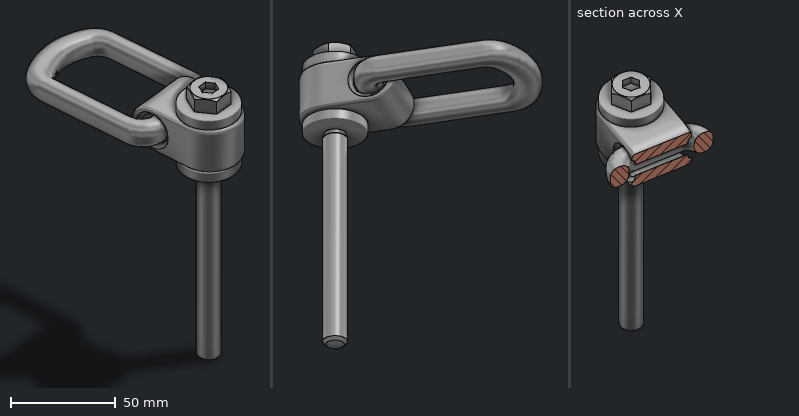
import cadquery as cq
import math


TOTAL_HEIGHT = 158.5

HOUSING_HEIGHT = 24.5
HOUSING_WIDTH = 33.3
HOUSING_EDGE_FILLET = 2.0
NOSE_CENTRE_X = 0.6
BARREL_CENTRE_X = -22.7
RING_HOLE_X = -21.5
RING_HOLE_RADIUS = 8.0
RING_HOLE_FILLET = 2.0

FLANGE_RADIUS = 15.7
FLANGE_THICKNESS = 5.5
FLANGE_FILLET = 0.5
BUSH_RADIUS = 12.2
BUSH_GAP = 1.0
HEAD_HEIGHT = 8.2
HEAD_ACROSS_FLATS = 18.7
HEAD_CHAMFER_ANGLE = 30.0
HEAD_TOP_RADIUS = 9.0
SOCKET_ACROSS_FLATS = 8.2
SOCKET_DEPTH = 4.0
NECK_RADIUS = 5.2
NECK_LENGTH = 2.0
THREAD_RADIUS = 6.0
THREAD_TOP_CHAMFER = 0.5
THREAD_TIP_CHAMFER = 1.6

RING_HEIGHT = 13.2
RING_ROUNDING = 0.45
OUTER_LEG_Y = 28.5
INNER_LEG_Y = 18.7
CROWN_OUTER_X = -101.8
CROWN_INNER_X = -88.0
CROWN_OUTER_START_X = -82.9
CROWN_INNER_START_X = -77.0
CROWN_OUTER_CORNER = 15.0
CROWN_INNER_CORNER = 8.0
HINGE_OUTER_X = -14.6
HINGE_INNER_X = -25.8
HINGE_OUTER_CORNER = 14.1
HINGE_INNER_CORNER = 5.9
CORNER_STEPS = 4
CROWN_STEPS = 3

housing_top = HOUSING_HEIGHT / 2
housing_bottom = -housing_top
bush_flange_top = housing_bottom - BUSH_GAP
bush_bottom = bush_flange_top - FLANGE_THICKNESS
bolt_flange_top = housing_top + FLANGE_THICKNESS
head_top = bolt_flange_top + HEAD_HEIGHT
thread_top = bush_bottom - NECK_LENGTH
bolt_tip = head_top - TOTAL_HEIGHT


def cylinder(radius, bottom, top):
    return cq.Workplane("XY").workplane(offset=bottom).circle(radius).extrude(top - bottom)


def hexagonal_prism(across_flats, bottom, top):
    """Hexagonal prism with two flats facing +X and -X."""
    across_corners = across_flats / math.cos(math.radians(30))
    return (
        cq.Workplane("XY")
        .workplane(offset=bottom)
        .transformed(rotate=(0, 0, 90))
        .polygon(6, across_corners)
        .extrude(top - bottom)
    )


def flange(bottom):
    disc = cylinder(FLANGE_RADIUS, bottom, bottom + FLANGE_THICKNESS)
    return disc.edges().fillet(FLANGE_FILLET)


def make_housing_block():
    """Block with a round nose in plan and a round barrel at the ring end."""
    nose_radius = HOUSING_WIDTH / 2
    barrel_radius = HOUSING_HEIGHT / 2
    nose_x = NOSE_CENTRE_X + nose_radius
    side_shape = (
        cq.Workplane("XZ")
        .moveTo(BARREL_CENTRE_X, barrel_radius)
        .lineTo(nose_x, barrel_radius)
        .lineTo(nose_x, -barrel_radius)
        .lineTo(BARREL_CENTRE_X, -barrel_radius)
        .threePointArc((BARREL_CENTRE_X - barrel_radius, 0), (BARREL_CENTRE_X, barrel_radius))
        .close()
        .extrude(nose_radius, both=True)
    )
    barrel_x = BARREL_CENTRE_X - barrel_radius
    plan_shape = (
        cq.Workplane("XY")
        .moveTo(barrel_x, -nose_radius)
        .lineTo(NOSE_CENTRE_X, -nose_radius)
        .threePointArc((nose_x, 0), (NOSE_CENTRE_X, nose_radius))
        .lineTo(barrel_x, nose_radius)
        .close()
        .extrude(barrel_radius, both=True)
    )
    block = side_shape.intersect(plan_shape)
    return block.edges("(not |Y) and (not |Z)").fillet(HOUSING_EDGE_FILLET)


def make_housing():
    """Housing block with a flared ring hole along Y and a bush bore along Z."""
    half_width = HOUSING_WIDTH / 2
    ring_hole = (
        cq.Workplane("XY")
        .moveTo(0, -half_width)
        .lineTo(RING_HOLE_RADIUS + RING_HOLE_FILLET, -half_width)
        .radiusArc((RING_HOLE_RADIUS, -half_width + RING_HOLE_FILLET), -RING_HOLE_FILLET)
        .lineTo(RING_HOLE_RADIUS, half_width - RING_HOLE_FILLET)
        .radiusArc((RING_HOLE_RADIUS + RING_HOLE_FILLET, half_width), -RING_HOLE_FILLET)
        .lineTo(0, half_width)
        .close()
        .revolve(360, (0, 0, 0), (0, 1, 0))
        .translate((RING_HOLE_X, 0, 0))
    )
    return make_housing_block().cut(ring_hole).cut(cylinder(BUSH_RADIUS, housing_bottom, housing_top))


def make_bush():
    """Sleeve lining the housing bore, with a flange below the housing."""
    sleeve = cylinder(BUSH_RADIUS, bush_flange_top, housing_top)
    bore = cylinder(NECK_RADIUS, bush_bottom, housing_top)
    return flange(bush_bottom).union(sleeve).cut(bore)


def make_bolt():
    """Flanged hexagon bolt with a socket, a plain neck and a long threaded shank."""
    head_cone_reach = FLANGE_RADIUS - HEAD_TOP_RADIUS
    head_cone_drop = head_cone_reach * math.tan(math.radians(HEAD_CHAMFER_ANGLE))
    head_envelope = (
        cq.Workplane("XZ")
        .moveTo(0, bolt_flange_top)
        .lineTo(FLANGE_RADIUS, bolt_flange_top)
        .lineTo(FLANGE_RADIUS, head_top - head_cone_drop)
        .lineTo(HEAD_TOP_RADIUS, head_top)
        .lineTo(0, head_top)
        .close()
        .revolve()
    )
    head = hexagonal_prism(HEAD_ACROSS_FLATS, bolt_flange_top, head_top).intersect(head_envelope)
    socket = hexagonal_prism(SOCKET_ACROSS_FLATS, head_top - SOCKET_DEPTH, head_top)
    neck = cylinder(NECK_RADIUS, thread_top, housing_top)
    thread = cylinder(THREAD_RADIUS, bolt_tip, thread_top)
    thread = thread.faces(">Z").chamfer(THREAD_TOP_CHAMFER)
    thread = thread.faces("<Z").chamfer(THREAD_TIP_CHAMFER)
    return flange(housing_top).union(head).union(neck).union(thread).cut(socket)


def bar_section(outer, inner):
    """Upright rounded rectangle of the ring bar, spanning two plan points."""
    reach = (inner[0] - outer[0], inner[1] - outer[1])
    width = math.hypot(*reach)
    plane = cq.Plane(
        origin=((outer[0] + inner[0]) / 2, (outer[1] + inner[1]) / 2, 0),
        xDir=(reach[0], reach[1], 0),
        normal=(reach[1], -reach[0], 0),
    )
    outline = cq.Workplane(plane).rect(width, RING_HEIGHT).val()
    return outline.fillet2D(RING_ROUNDING * width, outline.Vertices())


def bar_piece(sections, straight=False):
    return cq.Workplane(cq.Solid.makeLoft(sections, straight))


def arc_point(centre, radius, direction, angle):
    """Point on an arc that starts at +Y and turns towards +X (1) or -X (-1)."""
    return (
        centre[0] + direction * radius * math.sin(angle),
        centre[1] + radius * math.cos(angle),
    )


def corner_sections(outer_centre, outer_radius, inner_centre, inner_radius, direction, turns):
    """Sections round a corner, from the end of the leg onwards.

    direction is 1 towards +X and -1 towards -X, and turns holds the outer and
    inner angles that the corner turns through.
    """
    sections = []
    for step in range(CORNER_STEPS + 1):
        share = step / CORNER_STEPS
        sections.append(
            bar_section(
                arc_point(outer_centre, outer_radius, direction, share * turns[0]),
                arc_point(inner_centre, inner_radius, direction, share * turns[1]),
            )
        )
    return sections


def crown_arc(start_x, leg_y, tip_x, corner_radius):
    """Radius and centre X of the arc through the crown tip that meets the corner
    arc smoothly, and the angle that the corner arc turns through.
    """
    run = start_x - tip_x
    rise = leg_y - corner_radius
    radius = (run**2 + rise**2 - corner_radius**2) / (2 * (run - corner_radius))
    centre_x = tip_x + radius
    turn = math.atan2(centre_x - start_x, rise)
    return radius, centre_x, turn


def make_crown_half():
    """Corner and half crown at the free end of the ring, on the +Y side."""
    outer_radius, outer_x, outer_turn = crown_arc(
        CROWN_OUTER_START_X, OUTER_LEG_Y, CROWN_OUTER_X, CROWN_OUTER_CORNER
    )
    inner_radius, inner_x, inner_turn = crown_arc(
        CROWN_INNER_START_X, INNER_LEG_Y, CROWN_INNER_X, CROWN_INNER_CORNER
    )
    corner = corner_sections(
        (CROWN_OUTER_START_X, OUTER_LEG_Y - CROWN_OUTER_CORNER),
        CROWN_OUTER_CORNER,
        (CROWN_INNER_START_X, INNER_LEG_Y - CROWN_INNER_CORNER),
        CROWN_INNER_CORNER,
        -1,
        (outer_turn, inner_turn),
    )
    crown = []
    for step in range(CROWN_STEPS + 1):
        share = step / CROWN_STEPS
        outer_angle = outer_turn + share * (math.pi / 2 - outer_turn)
        inner_angle = inner_turn + share * (math.pi / 2 - inner_turn)
        crown.append(
            bar_section(
                arc_point((outer_x, 0), outer_radius, -1, outer_angle),
                arc_point((inner_x, 0), inner_radius, -1, inner_angle),
            )
        )
    return bar_piece(corner).union(bar_piece(crown))


def make_hinge_half():
    """Corner and half of the straight hinge bar inside the housing, on the +Y side."""
    inner_centre = (HINGE_INNER_X - HINGE_INNER_CORNER, INNER_LEG_Y - HINGE_INNER_CORNER)
    outer_centre = (HINGE_OUTER_X - HINGE_OUTER_CORNER, OUTER_LEG_Y - HINGE_OUTER_CORNER)
    corner = corner_sections(
        outer_centre,
        HINGE_OUTER_CORNER,
        inner_centre,
        HINGE_INNER_CORNER,
        1,
        (math.pi / 2, math.pi / 2),
    )
    bar_start = bar_section((HINGE_OUTER_X, inner_centre[1]), (HINGE_INNER_X, inner_centre[1]))
    bar_middle = bar_section((HINGE_OUTER_X, 0), (HINGE_INNER_X, 0))
    corner[-1] = bar_start
    return bar_piece(corner).union(bar_piece([bar_start, bar_middle], straight=True))


def make_leg():
    """Straight side of the ring on the +Y side."""
    hinge_outer_start_x = HINGE_OUTER_X - HINGE_OUTER_CORNER
    hinge_inner_start_x = HINGE_INNER_X - HINGE_INNER_CORNER
    crown_end = bar_section((CROWN_OUTER_START_X, OUTER_LEG_Y), (CROWN_INNER_START_X, INNER_LEG_Y))
    hinge_end = bar_section((hinge_outer_start_x, OUTER_LEG_Y), (hinge_inner_start_x, INNER_LEG_Y))
    return bar_piece([crown_end, hinge_end], straight=True)


def make_ring():
    half = make_leg().union(make_crown_half()).union(make_hinge_half())
    return half.union(half.mirror("XZ"))


housing = make_housing()
bush = make_bush()
bolt = make_bolt()
ring = make_ring()

result = cq.Compound.makeCompound([housing.val(), bush.val(), bolt.val(), ring.val()])